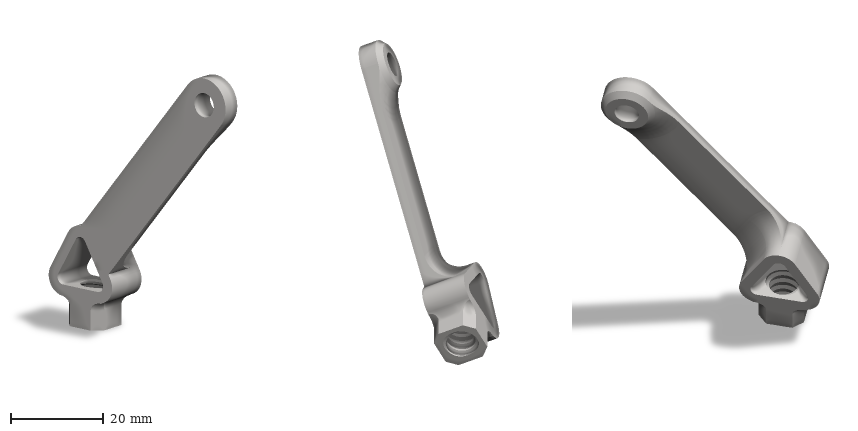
import cadquery as cq
import math

eye_depth = 10.0
window_side = 15.0
window_corner_radius = 1.5
eye_wall = 2.5

stem_width = 10.0
stem_corner_chamfer = 2.1
stem_fillet_radius = 2.0
stem_height = 9.0

bore_diameter = 6.5
thread_diameter = 8.0
thread_pitch = 2.2
groove_mouth = 1.8
groove_tip_width = 0.9
thread_overlap = 0.1
thread_drop = 0.4

head_x = 34.75
head_z = 42.74
arm_thickness = 2.0
eye_cove_radius = 6.0
head_radius = 6.0
head_thickness = 5.25
head_chamfer = 1.25
head_hole_diameter = 5.4
head_cove_radius = 9.0

selection_margin = 0.2

arm_length = math.hypot(head_x, head_z)
arm_angle = math.degrees(math.atan2(head_z, head_x))
slab_size = 4 * arm_length
window_inradius = window_side / (2 * math.sqrt(3))
eye_corner_radius = window_corner_radius + eye_wall
corner_distance = 2 * (window_inradius - window_corner_radius)
window_floor = -window_inradius
stem_bottom = window_floor - stem_height
stem_center_y = eye_depth / 2


def front_plane():
    """Sketch plane at Y = 0; negative extrusions grow towards +Y."""
    return cq.Workplane("XZ")


def make_slab(depth):
    """Plate at Y = 0 that reaches well past the whole part."""
    return front_plane().rect(slab_size, slab_size).extrude(-depth)


def rounded_triangle(corner_radius, depth):
    """Upright equilateral prism; every size shares the same three corner arc centers."""
    sharp_corner_distance = corner_distance + 2 * corner_radius
    corners = []
    for angle in (90, 210, 330):
        x = sharp_corner_distance * math.cos(math.radians(angle))
        z = sharp_corner_distance * math.sin(math.radians(angle))
        corners.append((x, z))
    prism = front_plane().polyline(corners).close().extrude(-depth)
    return prism.edges("|Y").fillet(corner_radius)


def make_stem_corner_cutter():
    """Block behind one 45 degree stem corner, its inner top edge rounded to leave a blend."""
    face_distance = (stem_width - stem_corner_chamfer) * math.sqrt(0.5)
    block = cq.Workplane("XY").box(
        stem_width, 2 * stem_width, stem_height, centered=(False, True, False)
    )
    block = block.edges("<X and >Z").fillet(stem_fillet_radius)
    return block.translate((face_distance, 0, window_floor - eye_wall - stem_height))


def make_eye_with_stem():
    """Solid eye and square stem, blended at the sides and on the four cut corners."""
    eye = rounded_triangle(eye_corner_radius, eye_depth)
    stem = (
        cq.Workplane("XY", origin=(0, stem_center_y, stem_bottom))
        .rect(stem_width, eye_depth)
        .extrude(stem_height)
    )
    joint_z = window_floor - eye_wall
    joint_reach = stem_width / 2 + selection_margin
    joint_edges = cq.selectors.BoxSelector(
        (-joint_reach, 0, joint_z - selection_margin),
        (joint_reach, eye_depth, joint_z + selection_margin),
    )
    body = eye.union(stem).edges("|Y").edges(joint_edges).fillet(stem_fillet_radius)
    for corner_angle in (45, 135, 225, 315):
        cutter = make_stem_corner_cutter().rotate((0, 0, 0), (0, 0, 1), corner_angle)
        body = body.cut(cutter.translate((0, stem_center_y, 0)))
    return body


def make_arm_outline():
    """Deep prism of the arm's outline, from the origin to the round head."""
    bar = (
        front_plane()
        .transformed(rotate=(0, 0, arm_angle))
        .center(arm_length / 2, 0)
        .rect(arm_length, 2 * head_radius)
        .extrude(-eye_depth)
    )
    head = front_plane().center(head_x, head_z).circle(head_radius).extrude(-eye_depth)
    return bar.union(head)


def make_eye_cove():
    """Plate around the eye with a concave blend rising to the eye wall."""
    eye = rounded_triangle(eye_corner_radius, eye_depth)
    blended = make_slab(arm_thickness).union(eye)
    joint_reach = corner_distance + eye_corner_radius + selection_margin
    joint_edges = cq.selectors.BoxSelector(
        (-joint_reach, arm_thickness - selection_margin, -joint_reach),
        (joint_reach, arm_thickness + selection_margin, joint_reach),
    )
    return blended.edges(joint_edges).fillet(eye_cove_radius)


def make_head():
    """Chamfered round head flaring down to the arm through a concave arc."""
    top_radius = head_radius - head_chamfer
    rim_y = head_thickness - head_chamfer
    arc_center_y = arm_thickness + head_cove_radius
    arc_start_angle = math.acos((arc_center_y - rim_y) / head_cove_radius)
    flare_radius = head_radius + head_cove_radius * math.sin(arc_start_angle)
    arc_middle = (
        flare_radius - head_cove_radius * math.sin(arc_start_angle / 2),
        arc_center_y - head_cove_radius * math.cos(arc_start_angle / 2),
    )
    profile = (
        cq.Workplane("XY")
        .lineTo(flare_radius, 0)
        .lineTo(flare_radius, arm_thickness)
        .threePointArc(arc_middle, (head_radius, rim_y))
        .lineTo(top_radius, head_thickness)
        .lineTo(0, head_thickness)
        .close()
    )
    return profile.revolve(360, (0, 0), (0, 1)).translate((head_x, 0, head_z))


def make_bore():
    """Plain core of the threaded bore, through the stem."""
    base = cq.Workplane("XY", origin=(0, stem_center_y, stem_bottom))
    return base.circle(bore_diameter / 2).extrude(stem_height)


def make_thread_groove():
    """Helical groove of the thread, running out past both ends of the bore."""
    root_radius = bore_diameter / 2 - thread_overlap
    tip_radius = thread_diameter / 2
    full_turns = math.ceil(stem_height / thread_pitch)
    helix_start = window_floor - thread_drop - full_turns * thread_pitch
    helix_end = window_floor + groove_mouth
    helix = cq.Wire.makeHelix(thread_pitch, helix_end - helix_start, root_radius)
    profile = (
        cq.Workplane("XZ")
        .moveTo(root_radius, -groove_mouth / 2)
        .lineTo(tip_radius, -groove_tip_width / 2)
        .lineTo(tip_radius, groove_tip_width / 2)
        .lineTo(root_radius, groove_mouth / 2)
        .close()
    )
    groove = profile.sweep(cq.Workplane(helix), isFrenet=True)
    return groove.translate((0, stem_center_y, helix_start))


def make_head_hole():
    """Round hole through the head."""
    circle = front_plane().center(head_x, head_z).circle(head_hole_diameter / 2)
    return circle.extrude(-head_thickness)


arm = make_eye_cove().union(make_head()).intersect(make_arm_outline())
window = rounded_triangle(window_corner_radius, eye_depth)
result = make_eye_with_stem().union(arm).cut(window)
result = result.cut(make_thread_groove()).cut(make_bore())
result = result.cut(make_head_hole())